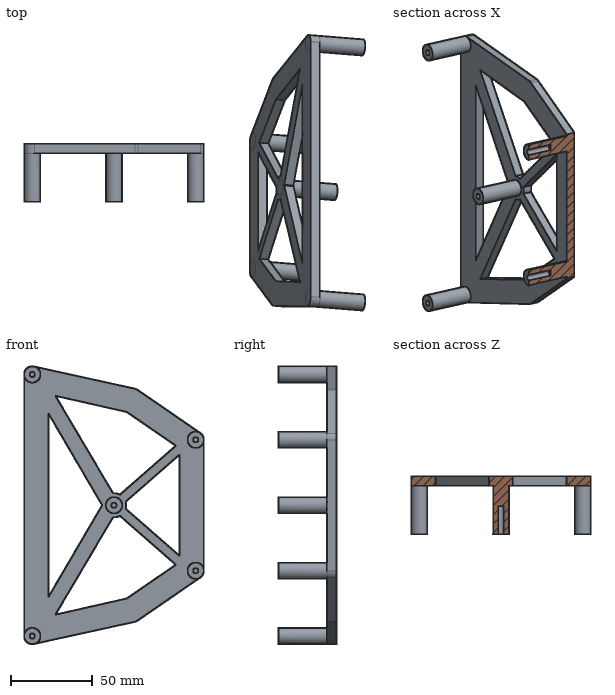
import cadquery as cq

plate_thickness = 6.0
total_depth = 35.5
post_diameter = 10.0
post_length = total_depth - plate_thickness
hole_diameter = 3.2
hole_depth = 17.0
hub_diameter = 15.0

post_half_span = 100.0 / 2
tall_side_half_height = 160.0 / 2
short_side_half_height = 80.0 / 2
bend_x = 11.5
bend_z = 66.5
rim_inset = 10.0

left_window_half_height = 55.8
left_window_tip_x = -7.3
right_window_half_height = 30.8
right_window_tip_x = 4.8
upper_window = [
    (-35.7, 66.8),
    (7.8, 57.0),
    (37.7, 36.4),
    (1.2, 4.5),
]

outline_centres = [
    (-post_half_span, -tall_side_half_height),
    (bend_x, -bend_z),
    (post_half_span, -short_side_half_height),
    (post_half_span, short_side_half_height),
    (bend_x, bend_z),
    (-post_half_span, tall_side_half_height),
]
post_centres = [(x, z) for x, z in outline_centres if x != bend_x] + [(0, 0)]


def extrude_back(sketch):
    """Extrude an XZ sketch through the plate, toward +Y."""
    return sketch.extrude(-plate_thickness)


def polygon_prism(points):
    return extrude_back(cq.Workplane("XZ").polyline(points).close())


def make_windows():
    left_x = -post_half_span + rim_inset
    right_x = post_half_span - rim_inset
    left = polygon_prism([
        (left_x, -left_window_half_height),
        (left_window_tip_x, 0),
        (left_x, left_window_half_height),
    ])
    right = polygon_prism([
        (right_x, -right_window_half_height),
        (right_x, right_window_half_height),
        (right_window_tip_x, 0),
    ])
    upper = polygon_prism(upper_window)
    lower = upper.mirror("XY")
    return [left, right, upper, lower]


def make_plate():
    centreline = cq.Workplane("XZ").polyline(outline_centres).close()
    plate = extrude_back(centreline.offset2D(post_diameter / 2, "arc"))
    for window in make_windows():
        plate = plate.cut(window)
    hub = extrude_back(cq.Workplane("XZ").circle(hub_diameter / 2))
    return plate.union(hub)


def make_posts():
    """Posts running from their free ends to the back face of the plate."""
    ends = cq.Workplane("XZ", origin=(0, -post_length, 0)).pushPoints(post_centres)
    return ends.circle(post_diameter / 2).extrude(-total_depth)


def make_holes():
    """Blind holes entering from the free ends of the posts."""
    ends = cq.Workplane("XZ", origin=(0, -post_length, 0)).pushPoints(post_centres)
    return ends.circle(hole_diameter / 2).extrude(-hole_depth)


result = make_plate().union(make_posts()).cut(make_holes())